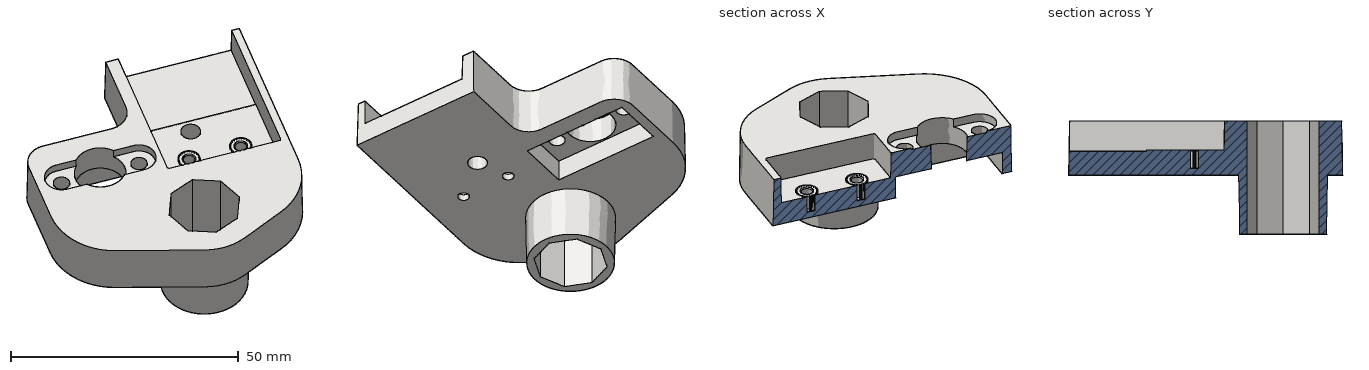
import cadquery as cq
import math

draft_angle = 1.0

block_length = 60.3
block_width = 57.3
block_height = 12.0
arm_edge_y = 25.9
leg_edge_x = 18.95
inner_bend_radius = 4.8
leg_corner_radius = 5.1

shoulder_radius = 15.0
upper_shoulder_x = 40.8
lower_shoulder_x = 39.35
axle_x = 47.2
axle_y = 33.1
nose_radius = block_length - axle_x

boss_radius = 9.9
boss_height = 13.0
octagon_sides = 8
octagon_diameter = 16.3

tray_length = 34.25
tray_center_y = 42.2
tray_width = 26.3
tray_depth = 6.4
tray_corner_radius = 0.5
floor_step = 0.25
floor_step_x = tray_length / 2
tray_floor_z = block_height - tray_depth
tray_overrun = 3.0

tray_hole_x = 20.15
tray_hole_y = 39.1
tray_hole_diameter = 4.35

insert_x = 27.7
insert_spacing = 12.0
insert_radius = 2.5
insert_root_radius = 2.2
insert_teeth = 24
insert_bore_radius = 1.25
insert_chamfer = 0.25
insert_length = 4.0
insert_bottom_z = tray_floor_z - insert_length
insert_points = [(insert_x, tray_center_y + side * insert_spacing / 2) for side in (-1, 1)]

mount_x = 29.15
mount_y = 15.1
mount_slot_width = 7.5
mount_slot_depth = 2.0
screw_spacing = 18.0
screw_hole_diameter = 3.6
mount_slot_length = screw_spacing + mount_slot_width
mount_hole_radius = 5.75

recess_width = 12.0
recess_length = mount_slot_length
recess_depth = 5.4


def point_on_circle(center, radius, angle):
    return (center[0] + radius * math.cos(angle), center[1] + radius * math.sin(angle))


def tangent_angle(first, first_radius, second, second_radius):
    """Direction of the shared normal of the right-hand outer tangent from first to second."""
    dx = second[0] - first[0]
    dy = second[1] - first[1]
    heading = math.atan2(dy, dx)
    return heading - math.acos((first_radius - second_radius) / math.hypot(dx, dy))


def block_outline():
    """Outline at the underside, anticlockwise from the lower end of the leg."""
    lower = (lower_shoulder_x, shoulder_radius)
    nose = (axle_x, axle_y)
    upper = (upper_shoulder_x, block_width - shoulder_radius)
    lower_angle = tangent_angle(lower, shoulder_radius, nose, nose_radius)
    upper_angle = tangent_angle(nose, nose_radius, upper, shoulder_radius)
    lower_mid_angle = (lower_angle - math.pi / 2) / 2
    upper_mid_angle = (upper_angle + math.pi / 2) / 2

    bend = (leg_edge_x - inner_bend_radius, arm_edge_y - inner_bend_radius)
    corner = (leg_edge_x + leg_corner_radius, leg_corner_radius)
    return (
        cq.Workplane("XY")
        .moveTo(corner[0], 0)
        .lineTo(lower_shoulder_x, 0)
        .threePointArc(
            point_on_circle(lower, shoulder_radius, lower_mid_angle),
            point_on_circle(lower, shoulder_radius, lower_angle),
        )
        .lineTo(*point_on_circle(nose, nose_radius, lower_angle))
        .threePointArc(
            point_on_circle(nose, nose_radius, 0),
            point_on_circle(nose, nose_radius, upper_angle),
        )
        .lineTo(*point_on_circle(upper, shoulder_radius, upper_angle))
        .threePointArc(
            point_on_circle(upper, shoulder_radius, upper_mid_angle),
            (upper_shoulder_x, block_width),
        )
        .lineTo(0, block_width)
        .lineTo(0, arm_edge_y)
        .lineTo(bend[0], arm_edge_y)
        .threePointArc(
            point_on_circle(bend, inner_bend_radius, math.pi / 4),
            (leg_edge_x, bend[1]),
        )
        .lineTo(leg_edge_x, corner[1])
        .threePointArc(
            point_on_circle(corner, leg_corner_radius, -3 * math.pi / 4),
            (corner[0], 0),
        )
        .close()
    )


def make_boss():
    return (
        cq.Workplane("XY")
        .center(axle_x, axle_y)
        .circle(boss_radius)
        .extrude(-boss_height, taper=draft_angle)
    )


def octagon_bore():
    return (
        cq.Workplane("XY", origin=(axle_x, axle_y, -boss_height))
        .polygon(octagon_sides, octagon_diameter)
        .extrude(boss_height + block_height)
    )


def tray_pocket():
    total_length = tray_length + tray_overrun
    pocket = (
        cq.Workplane("XY", origin=(tray_length - total_length / 2, tray_center_y, block_height))
        .sketch()
        .rect(total_length, tray_width)
        .vertices()
        .fillet(tray_corner_radius)
        .finalize()
        .extrude(-tray_depth, taper=draft_angle)
    )
    floor_width = tray_width - 2 * tray_depth * math.tan(math.radians(draft_angle))
    lower_floor = cq.Workplane("XY", origin=(0, tray_center_y, tray_floor_z)).box(
        2 * floor_step_x, floor_width, 2 * floor_step
    )
    return pocket.union(lower_floor)


def vertical_holes(points, diameter):
    return cq.Workplane("XY").pushPoints(points).circle(diameter / 2).extrude(block_height)


def insert_pockets():
    """Round pockets for the inserts, each continued to the underside at bore size."""
    seats = cq.Workplane("XY", origin=(0, 0, insert_bottom_z)).pushPoints(insert_points)
    bores = vertical_holes(insert_points, 2 * insert_bore_radius)
    return seats.circle(insert_radius).extrude(insert_length).union(bores)


def mounting_cut():
    slot = (
        cq.Workplane("XY", origin=(mount_x, mount_y, block_height))
        .slot2D(mount_slot_length, mount_slot_width, 90)
        .extrude(-mount_slot_depth, taper=draft_angle)
    )
    center_hole = (
        cq.Workplane("XY", origin=(mount_x, mount_y, block_height))
        .circle(mount_hole_radius)
        .extrude(-block_height, taper=draft_angle)
    )
    screw_points = [(mount_x, mount_y + side * screw_spacing / 2) for side in (-1, 1)]
    screw_holes = vertical_holes(screw_points, screw_hole_diameter)
    return slot.union(center_hole).union(screw_holes)


def underside_recess():
    return (
        cq.Workplane("XY")
        .center(mount_x, mount_y)
        .rect(recess_width, recess_length)
        .extrude(recess_depth)
    )


def make_housing():
    body = block_outline().extrude(block_height, taper=draft_angle).union(make_boss())
    body = body.cut(octagon_bore()).cut(tray_pocket())
    body = body.cut(vertical_holes([(tray_hole_x, tray_hole_y)], tray_hole_diameter))
    body = body.cut(insert_pockets())
    return body.cut(mounting_cut()).cut(underside_recess())


def make_insert(center):
    """Knurled sleeve with a plain bore, chamfered at its upper end."""
    outline = []
    for step in range(2 * insert_teeth):
        radius = insert_radius if step % 2 == 0 else insert_root_radius
        outline.append(point_on_circle(center, radius, step * math.pi / insert_teeth))
    return (
        cq.Workplane("XY", origin=(0, 0, insert_bottom_z))
        .polyline(outline)
        .close()
        .extrude(insert_length)
        .cut(vertical_holes([center], 2 * insert_bore_radius))
        .faces(">Z")
        .edges("%CIRCLE")
        .chamfer(insert_chamfer)
    )


housing = make_housing()
inserts = [make_insert(center) for center in insert_points]

result = cq.Compound.makeCompound([housing.val(), *[insert.val() for insert in inserts]])